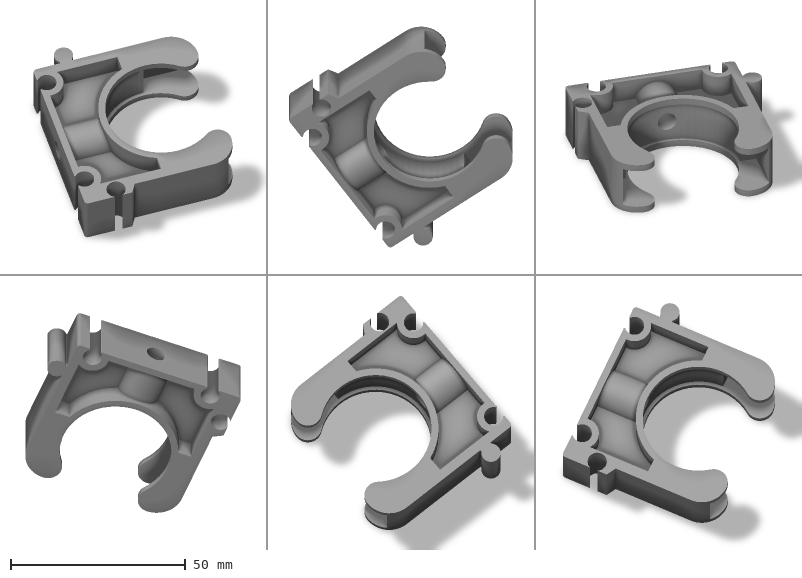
import cadquery as cq
import math

HEIGHT = 16.0
MID_HEIGHT = HEIGHT / 2

BORE_RADIUS = 16.0
BORE_Y = 31.0
RING_RADIUS = 18.0
TIP_RADIUS = 4.0
TIP_X = 16.0
TIP_Y = 43.0
SHOULDER_RADIUS = 8.0
LEFT_WALL_X = -(TIP_X + SHOULDER_RADIUS)
RIGHT_WALL_X = 23.75
TOP_Y = TIP_Y + TIP_RADIUS

BLOCK_RIGHT_X = 26.5
BLOCK_Y = 14.1
BLOCK_SLOPE_ANGLE = 30.0
CORNER_RADIUS = 1.0

SNAP_RADIUS = 2.75
SOCKET_DEPTH = 2.5
COUPLING_Y = 10.0
NECK_WIDTH = 3.6
THROAT_WIDTH = 3.3
MOUTH_WIDTH = 3.75
BASE_SOCKET_XS = (-18.5, 17.8)
SOCKET_WALL_RADIUS = 4.75

WEB_THICKNESS = 3.0
POCKET_LEFT_X = -21.25
POCKET_RIGHT_X = 20.75
POCKET_Y_MIN = 2.0
POCKET_Y_MAX = 24.5

FLANGE_THICKNESS = 2.0
GROOVE_RADIUS = 17.0
ARM_GROOVE_X = 21.75
ARM_GROOVE_Y = BORE_Y

BOSS_DIAMETER = 12.5
SCREW_HOLE_DIAMETER = 5.5


def cylinder_z(x, y, radius):
    """Full-height cylinder along Z."""
    return cq.Workplane("XY").center(x, y).circle(radius).extrude(HEIGHT)


def box_between(x_min, x_max, y_min, y_max, z_min=0.0, z_max=HEIGHT):
    """Box given by its limits."""
    size = (x_max - x_min, y_max - y_min, z_max - z_min)
    return cq.Workplane("XY").box(*size, centered=False).translate((x_min, y_min, z_min))


def cylinder_y(diameter, y_min, y_max):
    """Cylinder along Y on the screw axis."""
    profile = cq.Workplane("XZ", origin=(0, y_min, MID_HEIGHT)).circle(diameter / 2)
    return profile.extrude(y_min - y_max)


def make_body():
    """Outline with the pipe seat, rounded arm tips and the coupling block."""
    diagonal = math.sqrt(0.5)
    shoulder_y = TOP_Y - SHOULDER_RADIUS
    right_shoulder = RIGHT_WALL_X - TIP_X
    center_distance = math.hypot(TIP_X, TIP_Y - BORE_Y)
    touch_x = TIP_X * BORE_RADIUS / center_distance
    touch_y = BORE_Y + (TIP_Y - BORE_Y) * BORE_RADIUS / center_distance
    tip_inner_x = TIP_X - TIP_RADIUS
    slope_rise = (BLOCK_RIGHT_X - RIGHT_WALL_X) * math.tan(math.radians(BLOCK_SLOPE_ANGLE))

    outline = (
        cq.Workplane("XY")
        .moveTo(LEFT_WALL_X, 0)
        .lineTo(BLOCK_RIGHT_X, 0)
        .lineTo(BLOCK_RIGHT_X, BLOCK_Y)
        .lineTo(RIGHT_WALL_X, BLOCK_Y + slope_rise)
        .lineTo(RIGHT_WALL_X, TOP_Y - right_shoulder)
        .threePointArc(
            (TIP_X + right_shoulder * diagonal, TOP_Y - right_shoulder * (1 - diagonal)),
            (TIP_X, TOP_Y),
        )
        .threePointArc((tip_inner_x, TIP_Y), (touch_x, touch_y))
        .threePointArc((0, BORE_Y - BORE_RADIUS), (-touch_x, touch_y))
        .threePointArc((-tip_inner_x, TIP_Y), (-TIP_X, TOP_Y))
        .threePointArc(
            (-TIP_X - SHOULDER_RADIUS * diagonal, shoulder_y + SHOULDER_RADIUS * diagonal),
            (LEFT_WALL_X, shoulder_y),
        )
        .close()
    )
    return outline.extrude(HEIGHT).edges("|Z and <Y").fillet(CORNER_RADIUS)


def make_pockets():
    """Pockets above and below the web, leaving the ring and socket walls standing."""
    pocket = box_between(POCKET_LEFT_X, POCKET_RIGHT_X, POCKET_Y_MIN, POCKET_Y_MAX)
    pocket = pocket.cut(cylinder_z(0, BORE_Y, RING_RADIUS))
    for socket_x in BASE_SOCKET_XS:
        pocket = pocket.cut(cylinder_z(socket_x, SOCKET_DEPTH, SOCKET_WALL_RADIUS))
    web = box_between(
        POCKET_LEFT_X, POCKET_RIGHT_X, POCKET_Y_MIN, POCKET_Y_MAX,
        MID_HEIGHT - WEB_THICKNESS / 2, MID_HEIGHT + WEB_THICKNESS / 2,
    )
    boss = cylinder_y(BOSS_DIAMETER, POCKET_Y_MIN, POCKET_Y_MAX)
    return pocket.cut(web).cut(boss)


def make_groove():
    """Groove behind the bore that widens into the arms and opens at their tips."""
    z_min = FLANGE_THICKNESS
    z_max = HEIGHT - FLANGE_THICKNESS
    ring_groove = cylinder_z(0, BORE_Y, GROOVE_RADIUS)
    ring_groove = ring_groove.intersect(
        box_between(-GROOVE_RADIUS, GROOVE_RADIUS, 0, TOP_Y, z_min, z_max)
    )
    arm_groove = box_between(
        -ARM_GROOVE_X, ARM_GROOVE_X, ARM_GROOVE_Y, TOP_Y, z_min, z_max
    )
    return ring_groove.union(arm_groove)


def make_coupling_pin():
    """Snap pin and its neck on the left wall."""
    pin_x = LEFT_WALL_X - SOCKET_DEPTH
    neck = box_between(
        pin_x, LEFT_WALL_X, COUPLING_Y - NECK_WIDTH / 2, COUPLING_Y + NECK_WIDTH / 2
    )
    return cylinder_z(pin_x, COUPLING_Y, SNAP_RADIUS).union(neck)


def make_sockets():
    """Coupling socket on the right and two flared sockets in the mounting face."""
    sockets = cylinder_z(BLOCK_RIGHT_X - SOCKET_DEPTH, COUPLING_Y, SNAP_RADIUS)
    throat_y = SOCKET_DEPTH - math.sqrt(SNAP_RADIUS**2 - (THROAT_WIDTH / 2) ** 2)
    for socket_x in BASE_SOCKET_XS:
        mouth = (
            cq.Workplane("XY")
            .moveTo(socket_x - MOUTH_WIDTH / 2, 0)
            .lineTo(socket_x + MOUTH_WIDTH / 2, 0)
            .lineTo(socket_x + THROAT_WIDTH / 2, throat_y)
            .lineTo(socket_x - THROAT_WIDTH / 2, throat_y)
            .close()
            .extrude(HEIGHT)
        )
        sockets = sockets.union(cylinder_z(socket_x, SOCKET_DEPTH, SNAP_RADIUS)).union(mouth)
    return sockets


body = make_body()
body = body.cut(make_pockets()).cut(make_groove())
body = body.union(make_coupling_pin()).cut(make_sockets())
result = body.cut(cylinder_y(SCREW_HOLE_DIAMETER, 0, BORE_Y))